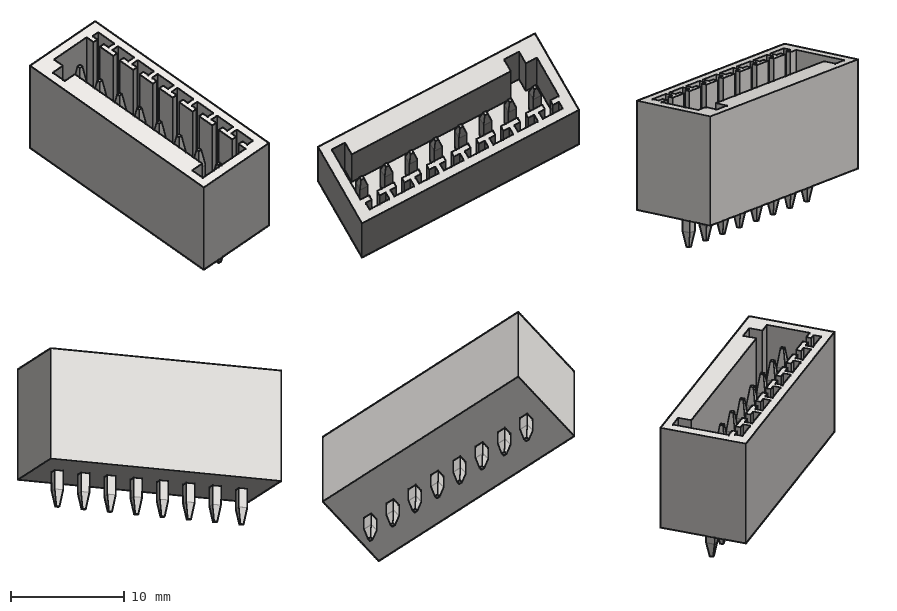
import cadquery as cq

LENGTH = 21.9
DEPTH = 8.1
HEIGHT = 10.1
FLOOR = 2.0

END_WALL = 0.95
FRONT_WALL = 2.05
BACK_WALL = 2.0

KEYWAY_FRONT_WALL = 0.8
LEFT_KEYWAY_START = 2.05
LEFT_KEYWAY_WIDTH = 1.51
RIGHT_KEYWAY_WIDTH = 1.34

PIN_COUNT = 8
PITCH = 2.5
ROW_Y = 4.03
PIN_WIDTH = 0.8
TIP_WIDTH = 0.3
TIP_BELOW_TOP = 1.3
UPPER_TAPER = 1.8
LOWER_TAPER = 1.5
PIN_TAIL = 3.2

SLOT_BACK_WALL = 0.8
SLOT_HEAD_WIDTH = 2.01
SLOT_HEAD_DEPTH = 0.7
SLOT_NECK_WIDTH = PIN_WIDTH

PIN_BOTTOM = -PIN_TAIL
PIN_TOP = HEIGHT - TIP_BELOW_TOP
PIN_XS = [LENGTH / 2 + (i - (PIN_COUNT - 1) / 2) * PITCH for i in range(PIN_COUNT)]
FUSED_PIN_X = PIN_XS[0]
SEPARATE_PIN_XS = PIN_XS[1:]


def block(x0, x1, y0, y1, z0, z1):
    """Box between two opposite corners."""
    return cq.Workplane("XY").box(x1 - x0, y1 - y0, z1 - z0, centered=False).translate((x0, y0, z0))


def cut_from_floor(x0, x1, y0, y1):
    """Cutter that reaches from the cavity floor to the open top."""
    return block(x0, x1, y0, y1, FLOOR, HEIGHT)


def make_pin(x):
    """Square pin standing at x, tapered to a small flat at each end."""
    shaft_bottom = PIN_BOTTOM + LOWER_TAPER
    shaft_top = PIN_TOP - UPPER_TAPER
    shaft = (
        cq.Workplane("XY", origin=(x, ROW_Y, shaft_bottom))
        .rect(PIN_WIDTH, PIN_WIDTH)
        .extrude(shaft_top - shaft_bottom)
    )
    return shaft.union(make_tip(x, shaft_top, UPPER_TAPER)).union(make_tip(x, shaft_bottom, -LOWER_TAPER))


def make_tip(x, base_z, rise):
    """Pyramid frustum from the shaft section to the tip; a negative rise points down."""
    return (
        cq.Workplane("XY", origin=(x, ROW_Y, base_z))
        .rect(PIN_WIDTH, PIN_WIDTH)
        .workplane(offset=rise)
        .rect(TIP_WIDTH, TIP_WIDTH)
        .loft(ruled=True)
    )


def make_t_slot(x):
    """T-slot cutter: wide head inside the back wall, narrow neck opening into the cavity."""
    head_back = DEPTH - SLOT_BACK_WALL
    head_front = head_back - SLOT_HEAD_DEPTH
    cavity_back = DEPTH - BACK_WALL
    head = cut_from_floor(x - SLOT_HEAD_WIDTH / 2, x + SLOT_HEAD_WIDTH / 2, head_front, head_back)
    neck = cut_from_floor(x - SLOT_NECK_WIDTH / 2, x + SLOT_NECK_WIDTH / 2, cavity_back, head_front)
    return head.union(neck)


def make_housing():
    """Open-topped housing; the first pin is one piece with it, the other pins get fitting holes."""
    cavity_right = LENGTH - END_WALL
    left_keyway_end = LEFT_KEYWAY_START + LEFT_KEYWAY_WIDTH
    right_keyway_start = cavity_right - RIGHT_KEYWAY_WIDTH

    body = block(0, LENGTH, 0, DEPTH, 0, HEIGHT)
    body = body.cut(cut_from_floor(END_WALL, cavity_right, FRONT_WALL, DEPTH - BACK_WALL))
    body = body.cut(cut_from_floor(LEFT_KEYWAY_START, left_keyway_end, KEYWAY_FRONT_WALL, FRONT_WALL))
    body = body.cut(cut_from_floor(right_keyway_start, cavity_right, KEYWAY_FRONT_WALL, FRONT_WALL))
    for x in PIN_XS:
        body = body.cut(make_t_slot(x))
    for x in SEPARATE_PIN_XS:
        body = body.cut(make_pin(x))
    return body.union(make_pin(FUSED_PIN_X))


housing = make_housing()
pins = [make_pin(x) for x in SEPARATE_PIN_XS]

result = cq.Compound.makeCompound([housing.val(), *[pin.val() for pin in pins]])